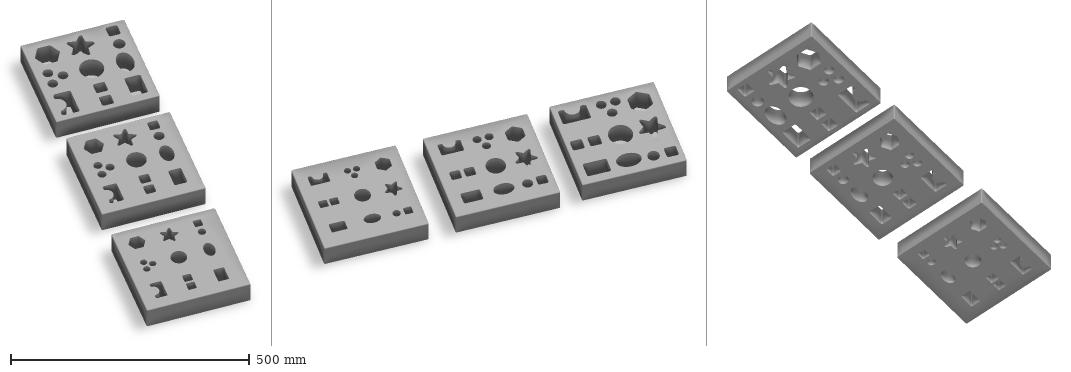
import cadquery as cq
import math


total_length = 800.0
plate_side = 230.0
plate_height = 50.0
edge_round = 2.0
middle_plate_x = 280.0
right_plate_x = total_length - plate_side
back_row_y = 5.0

star_points = 5
hexagon_sides = 6

large_cutouts = dict(
    corner_round=4.0,
    square_side=26.0, square_center=(24.0, 198.0),
    circle_diameter=26.0, circle_center=(63.0, 198.0),
    ellipse_size=(55.0, 38.0), ellipse_center=(116.0, 193.0),
    rectangle_size=(53.0, 36.0), rectangle_center=(186.0, 193.0),
    star_tip_radius=37.0, star_notch_radius=17.0, star_tip_round=4.0, star_center=(43.0, 119.0),
    disc_diameter=53.0, disc_center=(111.0, 120.0),
    pair_side=26.0, pair_centers=[(168.0, 120.0), (206.0, 120.0)],
    hexagon_width=49.0, hexagon_center=(44.0, 45.0),
    trio_diameter=22.0, trio_centers=[(110.0, 57.0), (94.0, 29.0), (125.0, 29.0)],
    bridge_size=(62.0, 39.0), bridge_center=(186.0, 38.0),
    arch_width=34.0, arch_height=19.0, leg_round=6.0,
)

medium_cutouts = dict(
    corner_round=4.0,
    square_side=23.0, square_center=(26.0, 186.0),
    circle_diameter=23.0, circle_center=(58.0, 186.0),
    ellipse_size=(46.0, 30.0), ellipse_center=(110.0, 186.0),
    rectangle_size=(43.0, 29.0), rectangle_center=(181.0, 186.0),
    star_tip_radius=31.0, star_notch_radius=14.0, star_tip_round=3.0, star_center=(41.0, 117.0),
    disc_diameter=43.0, disc_center=(107.0, 119.0),
    pair_side=23.0, pair_centers=[(164.0, 118.0), (195.0, 118.0)],
    hexagon_width=39.0, hexagon_center=(42.0, 47.0),
    trio_diameter=19.0, trio_centers=[(109.0, 60.0), (96.0, 38.0), (122.0, 38.0)],
    bridge_size=(50.0, 31.0), bridge_center=(182.0, 42.0),
    arch_width=28.0, arch_height=15.0, leg_round=2.0,
)

small_cutouts = dict(
    corner_round=2.0,
    square_side=18.0, square_center=(30.0, 182.0),
    circle_diameter=18.0, circle_center=(56.0, 182.0),
    ellipse_size=(38.0, 25.0), ellipse_center=(109.0, 181.0),
    rectangle_size=(35.0, 24.0), rectangle_center=(184.0, 181.0),
    star_tip_radius=24.0, star_notch_radius=11.0, star_tip_round=2.0, star_center=(42.0, 114.0),
    disc_diameter=35.0, disc_center=(109.0, 113.0),
    pair_side=19.0, pair_centers=[(170.0, 111.0), (194.0, 111.0)],
    hexagon_width=33.0, hexagon_center=(41.0, 43.0),
    trio_diameter=15.0, trio_centers=[(108.0, 55.0), (98.0, 38.0), (118.0, 38.0)],
    bridge_size=(43.0, 26.0), bridge_center=(182.0, 42.0),
    arch_width=24.0, arch_height=14.0, leg_round=4.0,
)


def at(center):
    return cq.Workplane("XY").center(*center)


def round_post(center, diameter):
    return at(center).circle(diameter / 2).extrude(plate_height)


def oval_post(center, size):
    width, depth = size
    return at(center).ellipse(width / 2, depth / 2).extrude(plate_height)


def box_post(center, size, corner_round):
    return at(center).rect(*size).extrude(plate_height).edges("|Z").fillet(corner_round)


def radial_points(radii, count):
    """Points evenly spread clockwise from +Y, stepping through the radii in turn."""
    points = []
    for i in range(count):
        angle = 2 * math.pi * i / count
        radius = radii[i % len(radii)]
        points.append((radius * math.sin(angle), radius * math.cos(angle)))
    return points


def hexagon_post(center, width, corner_round):
    corner_radius = width / 2 / math.cos(math.pi / hexagon_sides)
    corners = radial_points([corner_radius], hexagon_sides)
    return at(center).polyline(corners).close().extrude(plate_height).edges("|Z").fillet(corner_round)


def star_post(center, tip_radius, notch_radius, tip_round):
    corners = radial_points([tip_radius, notch_radius], 2 * star_points)
    post = at(center).polyline(corners).close().extrude(plate_height)
    middle_radius = (tip_radius + notch_radius) / 2
    tips = [
        edge for edge in post.edges("|Z").vals()
        if math.hypot(edge.Center().x - center[0], edge.Center().y - center[1]) > middle_radius
    ]
    return post.newObject(tips).fillet(tip_round)


def bridge_post(center, size, arch_width, arch_height, corner_round, leg_round):
    """Rectangle with an arch in its lower side, so that it stands on two round-footed legs."""
    width, depth = size
    top = depth / 2
    bottom = -depth / 2
    post = (
        at(center)
        .moveTo(-width / 2, bottom)
        .lineTo(-arch_width / 2, bottom)
        .threePointArc((0, bottom + arch_height), (arch_width / 2, bottom))
        .lineTo(width / 2, bottom)
        .lineTo(width / 2, top)
        .lineTo(-width / 2, top)
        .close()
        .extrude(plate_height)
    )
    post = post.edges("|Z and >Y").fillet(corner_round)
    return post.edges("|Z and <Y").fillet(leg_round)


def cutout_posts(sizes):
    square = (sizes["square_side"], sizes["square_side"])
    pair_square = (sizes["pair_side"], sizes["pair_side"])
    posts = [
        box_post(sizes["square_center"], square, sizes["corner_round"]),
        round_post(sizes["circle_center"], sizes["circle_diameter"]),
        oval_post(sizes["ellipse_center"], sizes["ellipse_size"]),
        box_post(sizes["rectangle_center"], sizes["rectangle_size"], sizes["corner_round"]),
        star_post(
            sizes["star_center"], sizes["star_tip_radius"], sizes["star_notch_radius"],
            sizes["star_tip_round"],
        ),
        round_post(sizes["disc_center"], sizes["disc_diameter"]),
        hexagon_post(sizes["hexagon_center"], sizes["hexagon_width"], sizes["corner_round"]),
        bridge_post(
            sizes["bridge_center"], sizes["bridge_size"], sizes["arch_width"],
            sizes["arch_height"], sizes["corner_round"], sizes["leg_round"],
        ),
    ]
    for center in sizes["pair_centers"]:
        posts.append(box_post(center, pair_square, sizes["corner_round"]))
    for center in sizes["trio_centers"]:
        posts.append(round_post(center, sizes["trio_diameter"]))
    return posts


def sorting_plate(x, y, cutouts):
    plate = cq.Workplane("XY").box(plate_side, plate_side, plate_height, centered=False)
    plate = plate.edges("|Z or >Z").fillet(edge_round)
    for post in cutout_posts(cutouts):
        plate = plate.cut(post)
    return plate.translate((x, y, 0))


large_plate = sorting_plate(0, 0, large_cutouts)
medium_plate = sorting_plate(middle_plate_x, back_row_y, medium_cutouts)
small_plate = sorting_plate(right_plate_x, back_row_y, small_cutouts)

result = cq.Compound.makeCompound([large_plate.val(), medium_plate.val(), small_plate.val()])